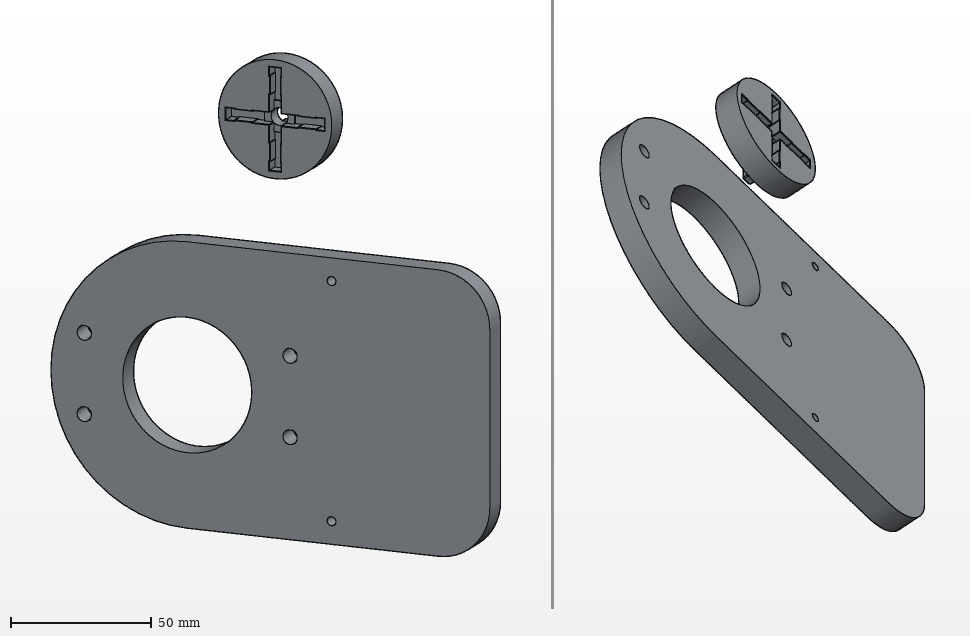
import cadquery as cq

thickness = 9.9
overall_height = 176.9

plate_length = 170.5
plate_height = 106.0
end_radius = plate_height / 2
corner_radius = 20.0
bore_diameter = 50.0
mount_hole_diameter = 5.5
mount_spacing_x = 80.0
mount_spacing_z = 30.0
small_hole_diameter = 3.4
small_hole_x = 56.0
small_hole_spacing_z = 88.8

disc_diameter = 44.0
disc_x = 34.1
disc_z = overall_height - end_radius - disc_diameter / 2
disc_hole_diameter = 6.5

slot_length = 38.2
slot_width = 4.5
slot_depth = 5.0
raised_floor_depth = 4.0
raised_floor_size = 11.7
lip_chamfer = 0.27

rib_start = 8.8
rib_end = 16.0
rib_height = 0.27

tab_start = 3.2
tab_end = 18.4
tab_width = 4.0
tab_height = 4.0
tab_chamfer = 0.45


def sketch_plane(y=0, x=0, z=0):
    """XZ workplane; its normal is -Y, so a negative extrusion goes toward +Y."""
    return cq.Workplane("XZ", origin=(x, y, z))


def drill(body, diameter, points):
    """Cut round holes right through a body at the given (x, z) points."""
    drills = sketch_plane().pushPoints(points).circle(diameter / 2).extrude(-thickness)
    return body.cut(drills)


def make_plate():
    square_end_x = plate_length - end_radius
    plate = (
        sketch_plane()
        .moveTo(0, end_radius)
        .threePointArc((-end_radius, 0), (0, -end_radius))
        .lineTo(square_end_x, -end_radius)
        .lineTo(square_end_x, end_radius)
        .close()
        .extrude(-thickness)
        .edges("|Y and >X")
        .fillet(corner_radius)
    )
    mount_points = [
        (side * mount_spacing_x / 2, level * mount_spacing_z / 2)
        for side in (-1, 1)
        for level in (-1, 1)
    ]
    small_points = [(small_hole_x, level * small_hole_spacing_z / 2) for level in (-1, 1)]
    plate = drill(plate, bore_diameter, [(0, 0)])
    plate = drill(plate, mount_hole_diameter, mount_points)
    return drill(plate, small_hole_diameter, small_points)


def make_slot():
    """One straight slot of the cross, with a rib on each wall of each arm."""
    slot = sketch_plane().rect(slot_length, slot_width).extrude(-slot_depth)
    rib_centre_x = (rib_start + rib_end) / 2
    rib_centre_z = (slot_width - rib_height) / 2
    rib_points = [
        (side * rib_centre_x, level * rib_centre_z)
        for side in (-1, 1)
        for level in (-1, 1)
    ]
    ribs = (
        sketch_plane()
        .pushPoints(rib_points)
        .rect(rib_end - rib_start, rib_height)
        .extrude(-slot_depth)
    )
    return slot.cut(ribs)


def make_socket():
    """Volume removed for the cross: two crossed slots, shallower near the axis."""
    slot = make_slot()
    cross = slot.union(slot.rotate((0, 0, 0), (0, 1, 0), 90))
    raised_floor = (
        sketch_plane(y=raised_floor_depth)
        .rect(raised_floor_size, raised_floor_size)
        .extrude(raised_floor_depth - slot_depth)
    )
    return cross.cut(raised_floor)


def make_tab(side):
    """Tab on the back face, above the axis for side = 1 and below it for side = -1."""
    return (
        sketch_plane(y=thickness, z=side * (tab_start + tab_end) / 2)
        .rect(tab_width, tab_end - tab_start)
        .extrude(-tab_height)
        .edges("|Y or >Y")
        .chamfer(tab_chamfer)
    )


def make_disc():
    disc = sketch_plane().circle(disc_diameter / 2).extrude(-thickness)
    disc = disc.cut(make_socket())
    disc = disc.faces("<Y").edges("%LINE").chamfer(lip_chamfer)
    disc = drill(disc, disc_hole_diameter, [(0, 0)])
    for side in (-1, 1):
        disc = disc.union(make_tab(side))
    return disc.translate((disc_x, 0, disc_z))


plate = make_plate()
disc = make_disc()
result = cq.Compound.makeCompound([plate.val(), disc.val()])